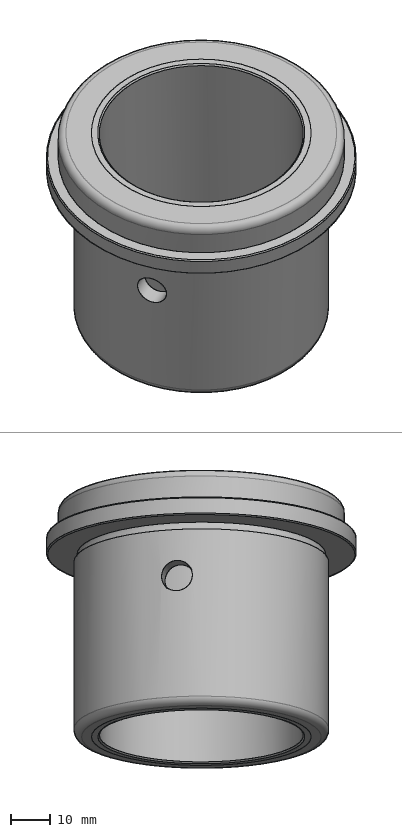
import cadquery as cq

flange_dia = 79.0
head_dia = 73.0
barrel_dia = 65.0
liner_dia = 56.0
bore_dia = 52.0

total_height = 61.0
head_height = 8.2
flange_thickness = 4.65

head_fillet = 2.0
flange_chamfer = 0.3
barrel_fillet = 2.0
liner_chamfer = 0.4

relief_height = 2.0
relief_depth = 0.8
oil_hole_dia = 8.0
oil_hole_drop = 27.0

flange_top = total_height - head_height
flange_bottom = flange_top - flange_thickness
relief_bottom = flange_bottom - relief_height
oil_hole_level = total_height - oil_hole_drop


def disc(diameter, bottom, top):
    """Cylinder on the Z axis between two levels."""
    return cq.Workplane("XY").workplane(offset=bottom).circle(diameter / 2).extrude(top - bottom)


def make_relief_neck():
    """Concave neck that narrows from the barrel up to the underside of the flange."""
    barrel_radius = barrel_dia / 2
    neck_radius = barrel_radius - relief_depth
    relief_arc_radius = (relief_height**2 + relief_depth**2) / (2 * relief_depth)
    return (
        cq.Workplane("XZ")
        .moveTo(0, relief_bottom)
        .lineTo(barrel_radius, relief_bottom)
        .radiusArc((neck_radius, flange_bottom), relief_arc_radius)
        .lineTo(0, flange_bottom)
        .close()
        .revolve(360, (0, 0, 0), (0, 1, 0))
    )


def make_oil_hole():
    """Radial cutter from the axis out through the -Y wall."""
    return (
        cq.Workplane("XZ")
        .center(0, oil_hole_level)
        .circle(oil_hole_dia / 2)
        .extrude(barrel_dia)
    )


def make_housing():
    """Flanged bushing with a bore for the liner and one radial oil hole."""
    barrel = disc(barrel_dia, 0, relief_bottom).faces("<Z").edges().fillet(barrel_fillet)
    flange = disc(flange_dia, flange_bottom, flange_top).edges("%CIRCLE").chamfer(flange_chamfer)
    head = disc(head_dia, flange_top, total_height).faces(">Z").edges().fillet(head_fillet)
    body = barrel.union(make_relief_neck()).union(flange).union(head)
    return body.cut(disc(liner_dia, 0, total_height)).cut(make_oil_hole())


def make_liner():
    """Plain sleeve that fills the housing bore and closes the oil hole's inner end."""
    sleeve = disc(liner_dia, 0, total_height).cut(disc(bore_dia, 0, total_height))
    return sleeve.faces("<Z or >Z").edges("%CIRCLE").edges(
        cq.selectors.RadiusNthSelector(0)
    ).chamfer(liner_chamfer)


housing = make_housing()
liner = make_liner()

result = cq.Compound.makeCompound([housing.val(), liner.val()])